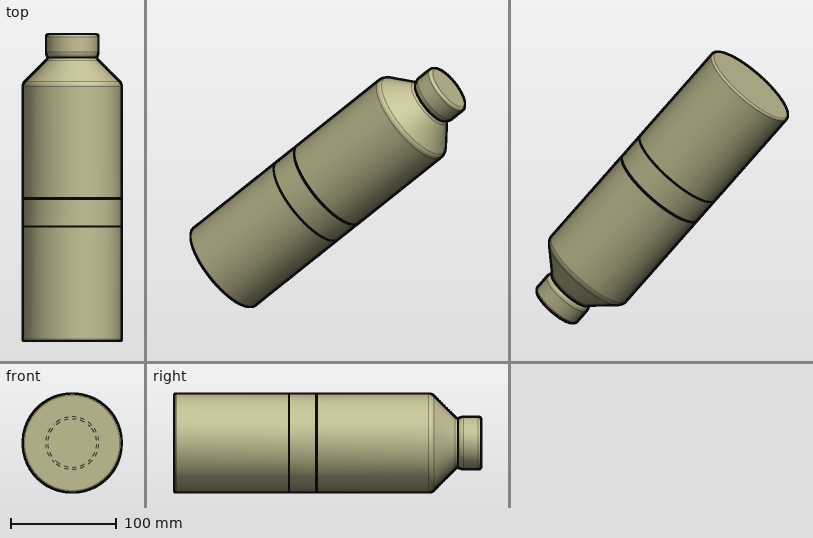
import cadquery as cq
import math

OVERALL_LENGTH = 290.5

BODY_DIAMETER = 94.0
FRONT_FACE_DIAMETER = 90.0
FRONT_HOUSING_LENGTH = 108.5

RING_DIAMETER = 93.94
RING_LENGTH = 26.0

JOINT_GAP = 0.5

SHOULDER_ANGLE = math.radians(45.0)
SHOULDER_ROUNDING = 7.0
SHOULDER_CORNER = 243.6
NECK_DIAMETER = 46.0
NECK_FLARE_END = 265.6

CAP_DIAMETER = 50.0
CAP_LENGTH = 22.2
CAP_REAR_ROUNDING = 3.0
CAP_FRONT_ROUNDING = 8.0

body_radius = BODY_DIAMETER / 2
neck_radius = NECK_DIAMETER / 2
cap_radius = CAP_DIAMETER / 2
rear_start = FRONT_HOUSING_LENGTH + RING_LENGTH + JOINT_GAP
cap_start = OVERALL_LENGTH - CAP_LENGTH


def turned(profile):
    """Revolve a half profile, drawn with X as radius, around the Y axis."""
    return profile.close().revolve(360, (0, 0, 0), (0, 1, 0))


def make_disc(start, length, diameter):
    radius = diameter / 2
    outline = cq.Workplane("XY").moveTo(0, start).lineTo(radius, start)
    return turned(outline.lineTo(radius, start + length).lineTo(0, start + length))


def make_front_housing():
    housing = make_disc(0, FRONT_HOUSING_LENGTH, BODY_DIAMETER)
    rim_rounding = (BODY_DIAMETER - FRONT_FACE_DIAMETER) / 2
    return housing.faces("<Y").edges().fillet(rim_rounding)


def make_joint_ring():
    return make_disc(FRONT_HOUSING_LENGTH, RING_LENGTH, RING_DIAMETER)


def make_rear_housing():
    cone_direction = (-math.sin(SHOULDER_ANGLE), math.cos(SHOULDER_ANGLE))
    tangent_length = SHOULDER_ROUNDING * math.tan(SHOULDER_ANGLE / 2)
    rounding_start = SHOULDER_CORNER - tangent_length
    rounding_end = (
        body_radius + tangent_length * cone_direction[0],
        SHOULDER_CORNER + tangent_length * cone_direction[1],
    )
    cone_end_radius = body_radius - (NECK_FLARE_END - SHOULDER_CORNER) * math.tan(SHOULDER_ANGLE)
    outline = cq.Workplane("XY").moveTo(0, rear_start).lineTo(body_radius, rear_start)
    outline = outline.lineTo(body_radius, rounding_start)
    outline = outline.tangentArcPoint(rounding_end, relative=False)
    outline = outline.lineTo(cone_end_radius, NECK_FLARE_END)
    outline = outline.tangentArcPoint((neck_radius, cap_start), relative=False)
    return turned(outline.lineTo(0, cap_start))


def make_cap():
    radius_drop = cap_radius - neck_radius
    sweep = math.acos(1 - radius_drop / CAP_FRONT_ROUNDING)
    straight_start = cap_start + CAP_FRONT_ROUNDING * math.sin(sweep)
    arc_middle = (
        cap_radius - CAP_FRONT_ROUNDING * (1 - math.cos(sweep / 2)),
        straight_start - CAP_FRONT_ROUNDING * math.sin(sweep / 2),
    )
    outline = cq.Workplane("XY").moveTo(0, cap_start).lineTo(neck_radius, cap_start)
    outline = outline.threePointArc(arc_middle, (cap_radius, straight_start))
    outline = outline.lineTo(cap_radius, OVERALL_LENGTH).lineTo(0, OVERALL_LENGTH)
    return turned(outline).faces(">Y").edges().fillet(CAP_REAR_ROUNDING)


front_housing = make_front_housing()
joint_ring = make_joint_ring()
rear_housing = make_rear_housing()
cap = make_cap()

result = cq.Compound.makeCompound(
    [front_housing.val(), joint_ring.val(), rear_housing.val(), cap.val()]
)